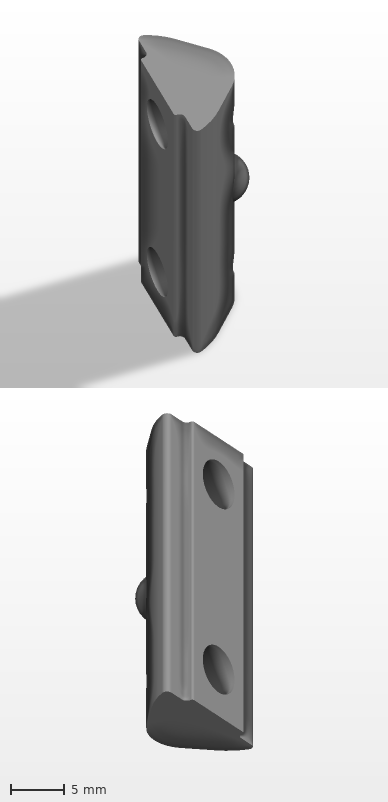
import cadquery as cq
import math

length = 30.0
width = 13.47
crest_height = 7.55
crest_radius = 3.75
flank_angle = math.radians(45)
flank_end_height = 4.05
wing_tip_radius = 0.5
wing_tip_angle = math.radians(20)
foot_height = 0.85
foot_half_width = 4.02
foot_fillet = 0.55
foot_corner_radius = 0.25

hole_diameter = 4.92
hole_spacing = 19.98
ball_diameter = 5.0
ball_peak_height = 9.18
pocket_diameter = 5.1

ball_center_height = ball_peak_height - ball_diameter / 2
pocket_floor_height = ball_peak_height - ball_diameter


def polar(center, radius, angle):
    """Point on a circle in the profile plane."""
    return (center[0] + radius * math.cos(angle), center[1] + radius * math.sin(angle))


def half_profile():
    """Right half of the section, closed along the symmetry line."""
    quarter = math.pi / 4
    crest_center = (0, crest_height - crest_radius)
    crest_end = polar(crest_center, crest_radius, flank_angle)
    flank_drop = crest_end[1] - flank_end_height
    flank_end = (crest_end[0] + flank_drop / math.tan(flank_angle), flank_end_height)

    tip_center = (width / 2 - wing_tip_radius, foot_height + wing_tip_radius)
    tip_start = polar(tip_center, wing_tip_radius, wing_tip_angle)
    tip_middle = polar(tip_center, wing_tip_radius, -quarter)
    tip_end = (tip_center[0], foot_height)

    fillet_center = (foot_half_width + foot_fillet, foot_height - foot_fillet)
    fillet_start = (fillet_center[0], foot_height)
    fillet_middle = polar(fillet_center, foot_fillet, 3 * quarter)
    fillet_end = (foot_half_width, fillet_center[1])

    corner_center = (foot_half_width - foot_corner_radius, foot_corner_radius)
    corner_start = (foot_half_width, foot_corner_radius)
    corner_middle = polar(corner_center, foot_corner_radius, -quarter)
    corner_end = (corner_center[0], 0)

    return (
        cq.Workplane("XY")
        .moveTo(0, crest_height)
        .threePointArc(polar(crest_center, crest_radius, (math.pi / 2 + flank_angle) / 2), crest_end)
        .lineTo(*flank_end)
        .tangentArcPoint(tip_start, relative=False)
        .threePointArc(tip_middle, tip_end)
        .lineTo(*fillet_start)
        .threePointArc(fillet_middle, fillet_end)
        .lineTo(*corner_start)
        .threePointArc(corner_middle, corner_end)
        .lineTo(0, 0)
        .close()
    )


def cylinder_along_y(diameter, start_height, end_height, z):
    """Cylinder on the plane X = 0, running in +Y between two heights."""
    return cq.Workplane(
        cq.Solid.makeCylinder(
            diameter / 2, end_height - start_height, cq.Vector(0, start_height, z), cq.Vector(0, 1, 0)
        )
    )


def make_nut():
    half = half_profile().extrude(length / 2, both=True)
    nut = half.union(half.mirror("YZ")).clean()
    for side in (-1, 1):
        nut = nut.cut(cylinder_along_y(hole_diameter, 0, crest_height, side * hole_spacing / 2))
    return nut.cut(cylinder_along_y(pocket_diameter, pocket_floor_height, crest_height, 0))


def make_ball():
    return cq.Workplane("XY").sphere(ball_diameter / 2).translate((0, ball_center_height, 0))


nut = make_nut()
ball = make_ball()

result = cq.Compound.makeCompound([nut.solids().val(), ball.val()])